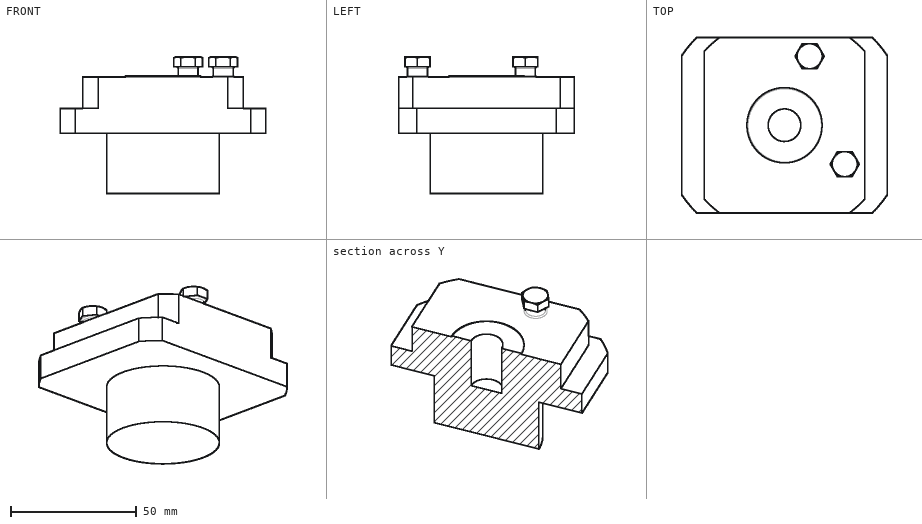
import math

import cadquery as cq

body_depth = 70.0
flange_width = 82.0
flange_height = 10.0
flange_corner_diameter = 99.0
block_width = 64.0
block_height = 12.5
block_corner_diameter = 87.0

boss_diameter = 45.0
boss_height = 24.0

ring_diameter = 30.0
ring_height = 0.5
ring_fillet = 0.4
bore_diameter = 13.0

bolt_centers = [(10.0, 27.5), (24.0, -15.5)]
bolt_across_flats = 10.0
bolt_head_height = 4.0
bolt_shank_diameter = 8.0
bolt_shank_height = 4.0
bolt_fillet = 0.6
bolt_top_diameter = bolt_across_flats
bolt_bevel_angle = 30.0

flange_bottom = boss_height
block_bottom = flange_bottom + flange_height
block_top = block_bottom + block_height
ring_top = block_top + ring_height
bore_depth = ring_top - flange_bottom


def disc(diameter, bottom, height):
    return cq.Workplane("XY").workplane(offset=bottom).circle(diameter / 2).extrude(height)


def round_cornered_plate(width, corner_diameter, bottom, height):
    """Rectangle whose four corners are trimmed by one centred circle."""
    plate = cq.Workplane("XY").workplane(offset=bottom).rect(width, body_depth).extrude(height)
    return plate.intersect(disc(corner_diameter, bottom, height))


def bolt_shank():
    """Round shank with a concave fillet where it meets the block and the head."""
    radius = bolt_shank_diameter / 2
    end_radius = radius + bolt_fillet
    arc_offset = bolt_fillet * (1 - math.cos(math.radians(45)))
    profile = (
        cq.Workplane("XZ")
        .lineTo(end_radius, 0)
        .threePointArc((radius + arc_offset, arc_offset), (radius, bolt_fillet))
        .lineTo(radius, bolt_shank_height - bolt_fillet)
        .threePointArc(
            (radius + arc_offset, bolt_shank_height - arc_offset),
            (end_radius, bolt_shank_height),
        )
        .lineTo(0, bolt_shank_height)
        .close()
    )
    return profile.revolve(360, (0, 0), (0, 1))


def bolt_head():
    """Hexagon with two flats facing +Y and -Y, its top corners bevelled by a cone."""
    hexagon_sides = 6
    corner_diameter = bolt_across_flats / math.cos(math.pi / hexagon_sides)
    corner_radius = corner_diameter / 2
    top_radius = bolt_top_diameter / 2
    bevel_height = (corner_radius - top_radius) * math.tan(math.radians(bolt_bevel_angle))
    head_top = bolt_shank_height + bolt_head_height
    hexagon = (
        cq.Workplane("XY")
        .workplane(offset=bolt_shank_height)
        .polygon(hexagon_sides, corner_diameter)
        .extrude(bolt_head_height)
    )
    envelope_profile = [
        (0, bolt_shank_height),
        (corner_radius, bolt_shank_height),
        (corner_radius, head_top - bevel_height),
        (top_radius, head_top),
        (0, head_top),
    ]
    envelope = cq.Workplane("XZ").polyline(envelope_profile).close().revolve(360, (0, 0), (0, 1))
    return hexagon.intersect(envelope)


def body():
    boss = disc(boss_diameter, 0, boss_height)
    flange = round_cornered_plate(flange_width, flange_corner_diameter, flange_bottom, flange_height)
    block = round_cornered_plate(block_width, block_corner_diameter, block_bottom, block_height)
    ring = disc(ring_diameter, block_top, ring_height).faces(">Z").fillet(ring_fillet)
    bore = disc(bore_diameter, ring_top - bore_depth, bore_depth)
    return boss.union(flange).union(block).union(ring).cut(bore)


result = body()
bolt = bolt_shank().union(bolt_head())
for x, y in bolt_centers:
    result = result.union(bolt.translate((x, y, block_top)))